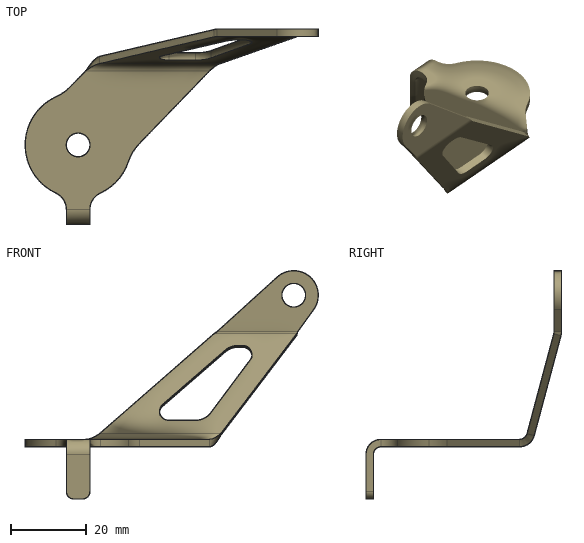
import cadquery as cq
import math

thickness = 2.0
bend_radius = 2.0
outer_bend_radius = bend_radius + thickness
hole_diameter = 6.2

plate_radius = 14.0
plate_blend_radius = 12.4
plate_end_y = 19.5
plate_left_x, plate_right_x = 1.9, 34.7
plate_edge_angle = math.radians(46)

lean = math.radians(15)
arm_bottom_left_x, arm_bottom_right_x = 5.65, 37.65
arm_top_left_x, arm_top_right_x = 35.9, 57.7
arm_top_z = 27.9

window_bottom_z, window_top_z = 5.0, 24.8
window_tight_radius, window_wide_radius = 2.5, 4.95
window_corners = [
    (17.5, window_bottom_z, window_tight_radius),
    (33.55, window_bottom_z, window_wide_radius),
    (48.3, window_top_z, window_tight_radius),
    (40.3, window_top_z, window_wide_radius),
]

eye_left_x, eye_right_x = 36.65, 58.0
eye_x, eye_z = 56.95, 38.0
eye_radius = 6.5

tab_width = 6.3
tab_front_y = -21.1
tab_bottom_z = -15.8
tab_corner_radius = 2.0

lower_bend_turn = math.pi / 2 - lean
arm_bottom_y = plate_end_y + bend_radius * math.sin(lower_bend_turn)
arm_bottom_z = bend_radius * (1 - math.cos(lower_bend_turn))
arm_top_y = arm_bottom_y + (arm_top_z - arm_bottom_z) * math.tan(lean)
eye_bottom_z = arm_top_z + bend_radius * math.sin(lean)
eye_front_y = arm_top_y + bend_radius * (1 - math.cos(lean))
tab_bend_y = tab_front_y + outer_bend_radius


def polar(radius, angle, center=(0, 0)):
    return (center[0] + radius * math.cos(angle), center[1] + radius * math.sin(angle))


def edge_blend(edge_x, normal_angle, side):
    """Center and tangent points of the arc joining the plate circle to a straight edge.

    The edge passes through (edge_x, plate_end_y); normal_angle points out of the plate.
    """
    edge_offset = edge_x * math.cos(normal_angle) + plate_end_y * math.sin(normal_angle)
    center_distance = plate_radius + plate_blend_radius
    swing = math.acos((edge_offset + plate_blend_radius) / center_distance)
    center_angle = normal_angle + side * swing
    center = polar(center_distance, center_angle)
    on_circle = polar(plate_radius, center_angle)
    on_edge = polar(-plate_blend_radius, normal_angle, center)
    return center, on_circle, on_edge


def arc_middle(center, start, end, radius):
    """Middle of the short arc from start to end."""
    middle_x = (start[0] + end[0]) / 2 - center[0]
    middle_y = (start[1] + end[1]) / 2 - center[1]
    return polar(radius, math.atan2(middle_y, middle_x), center)


def make_plate():
    half_tab = tab_width / 2
    tab_fillet = (half_tab**2 + tab_bend_y**2 - plate_radius**2) / (2 * (plate_radius - half_tab))
    right_tab_center = (half_tab + tab_fillet, tab_bend_y)
    left_tab_center = (-half_tab - tab_fillet, tab_bend_y)
    tab_angle = math.atan2(tab_bend_y, half_tab + tab_fillet)
    right_tab = polar(plate_radius, tab_angle)
    left_tab = (-right_tab[0], right_tab[1])

    right_normal = plate_edge_angle - math.pi / 2
    left_normal = plate_edge_angle + math.pi / 2
    right_center, right_circle, right_edge = edge_blend(plate_right_x, right_normal, 1)
    left_center, left_circle, left_edge = edge_blend(plate_left_x, left_normal, -1)

    right_tab_middle = arc_middle(right_tab_center, (half_tab, tab_bend_y), right_tab, tab_fillet)
    left_tab_middle = arc_middle(left_tab_center, left_tab, (-half_tab, tab_bend_y), tab_fillet)
    return (
        cq.Workplane("XY")
        .moveTo(-half_tab, tab_bend_y)
        .lineTo(half_tab, tab_bend_y)
        .threePointArc(right_tab_middle, right_tab)
        .threePointArc(arc_middle((0, 0), right_tab, right_circle, plate_radius), right_circle)
        .threePointArc(
            arc_middle(right_center, right_circle, right_edge, plate_blend_radius), right_edge
        )
        .lineTo(plate_right_x, plate_end_y)
        .lineTo(plate_left_x, plate_end_y)
        .lineTo(*left_edge)
        .threePointArc(
            arc_middle(left_center, left_edge, left_circle, plate_blend_radius), left_circle
        )
        .threePointArc((-plate_radius, 0), left_tab)
        .threePointArc(left_tab_middle, (-half_tab, tab_bend_y))
        .close()
        .moveTo(0, 0)
        .circle(hole_diameter / 2)
        .extrude(-thickness)
    )


def make_bend(axis_y, axis_z, start_angle, turn, start_sides, end_sides):
    """Sheet bend about an X-parallel axis whose sides shift evenly in x along the turn."""
    steps = 8

    def side_curve(radius, side):
        points = []
        for step in range(steps + 1):
            part_way = step / steps
            x = start_sides[side] + part_way * (end_sides[side] - start_sides[side])
            y, z = polar(radius, start_angle + part_way * turn, (axis_y, axis_z))
            points.append(cq.Vector(x, y, z))
        return cq.Edge.makeSpline(points)

    curves = [
        side_curve(bend_radius, 0),
        side_curve(bend_radius, 1),
        side_curve(outer_bend_radius, 1),
        side_curve(outer_bend_radius, 0),
    ]
    faces = [
        cq.Face.makeRuledSurface(curve, curves[(index + 1) % len(curves)])
        for index, curve in enumerate(curves)
    ]
    for end in (0, 1):
        corners = [curve.positionAt(end) for curve in curves]
        faces.append(cq.Face.makeFromWires(cq.Wire.makePolygon(corners, close=True)))
    return cq.Workplane(cq.Solid.makeSolid(cq.Shell.makeShell(faces)))


def make_window(plane):
    """Cutter for the arm window, with a separate radius at each corner."""
    outline = [(x, (z - arm_bottom_z) / math.cos(lean)) for x, z, _ in window_corners]
    cutter = cq.Workplane(plane).polyline(outline).close().extrude(-thickness)
    for (x, y), (_, _, radius) in zip(outline, window_corners):
        corner = plane.toWorldCoords((x, y, -thickness / 2))
        edge = cutter.edges(cq.selectors.NearestToPointSelector(corner.toTuple()))
        cutter = edge.fillet(radius)
    return cutter


def make_arm():
    plane = cq.Plane(
        origin=(0, arm_bottom_y, arm_bottom_z),
        xDir=(1, 0, 0),
        normal=(0, -math.cos(lean), math.sin(lean)),
    )
    length = (arm_top_z - arm_bottom_z) / math.cos(lean)
    outline = [
        (arm_bottom_left_x, 0),
        (arm_bottom_right_x, 0),
        (arm_top_right_x, length),
        (arm_top_left_x, length),
    ]
    arm = cq.Workplane(plane).polyline(outline).close().extrude(-thickness)
    return arm.cut(make_window(plane))


def eye_tangent(start_x, side):
    """Angle on the eye circle where a line from the foot of the eye touches it."""
    run, rise = start_x - eye_x, eye_bottom_z - eye_z
    return math.atan2(rise, run) + side * math.acos(eye_radius / math.hypot(run, rise))


def make_eye():
    center = (eye_x, eye_z)
    left_touch = polar(eye_radius, eye_tangent(eye_left_x, -1), center)
    right_touch = polar(eye_radius, eye_tangent(eye_right_x, 1), center)
    far_side = polar(eye_radius, math.pi / 4, center)
    return (
        cq.Workplane("XZ", origin=(0, eye_front_y, 0))
        .moveTo(eye_left_x, eye_bottom_z)
        .lineTo(eye_right_x, eye_bottom_z)
        .lineTo(*right_touch)
        .threePointArc(far_side, left_touch)
        .close()
        .moveTo(*center)
        .circle(hole_diameter / 2)
        .extrude(-thickness)
    )


def make_tab():
    height = -outer_bend_radius - tab_bottom_z
    return (
        cq.Workplane("XY")
        .box(tab_width, thickness, height, centered=(True, False, False))
        .edges("|Y and <Z")
        .fillet(tab_corner_radius)
        .translate((0, tab_front_y, tab_bottom_z))
    )


tab_sides = (-tab_width / 2, tab_width / 2)
tab_bend = make_bend(tab_bend_y, -outer_bend_radius, math.pi / 2, math.pi / 2, tab_sides, tab_sides)
lower_bend = make_bend(
    plate_end_y,
    bend_radius,
    -math.pi / 2,
    lower_bend_turn,
    (plate_left_x, plate_right_x),
    (arm_bottom_left_x, arm_bottom_right_x),
)
upper_bend = make_bend(
    eye_front_y - bend_radius,
    eye_bottom_z,
    -lean,
    lean,
    (arm_top_left_x, arm_top_right_x),
    (eye_left_x, eye_right_x),
)

result = make_plate()
for section in (tab_bend, make_tab(), lower_bend, make_arm(), upper_bend, make_eye()):
    result = result.union(section)